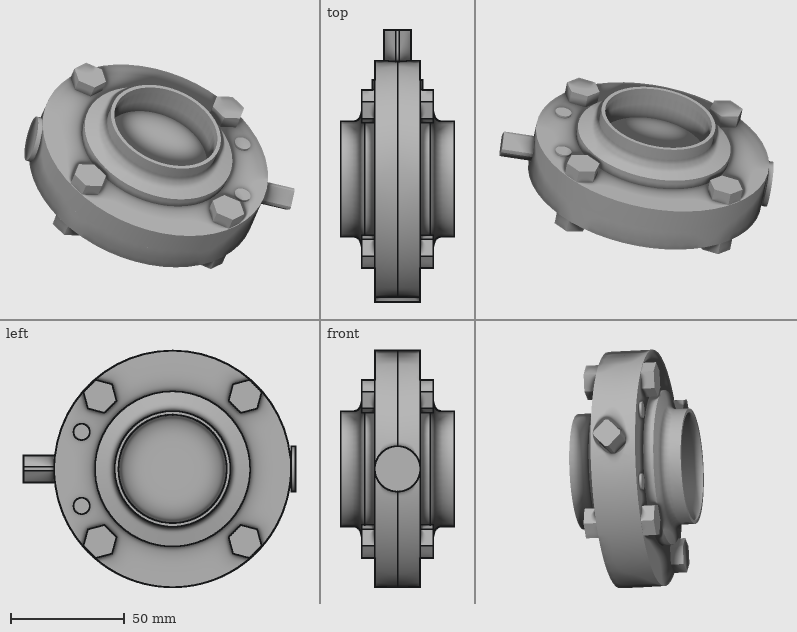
import cadquery as cq
import math


flange_diameter = 104.0
flange_thickness = 20.0
overall_length = 50.0
hub_diameter = 68.1
hub_edge_x = 14.5
hub_face_angle = 16.0
pipe_outer_diameter = 50.8
pipe_bore_diameter = 47.6
neck_fillet_radius = 3.0

bolt_circle_radius = 45.0
bolt_angles = (45, 135, 225, 315)
bolt_head_flats = 13.0
bolt_head_height = 5.7
pin_diameter = 7.2
pin_height = 1.1
pin_y = 39.9
pin_z = 16.3

disc_thickness = flange_thickness
stem_diameter = 12.0
stem_square = 9.6
stem_end_y = 65.5
drive_depth = 1.2
cap_diameter = flange_thickness
cap_thickness = 2.0
overall_width = 119.5

flange_radius = flange_diameter / 2
pipe_outer_radius = pipe_outer_diameter / 2
flange_face_x = flange_thickness / 2
pipe_end_x = overall_length / 2
drive_start_y = flange_radius - drive_depth
cap_end_y = stem_end_y - overall_width
cap_seat_y = cap_end_y + cap_thickness


def flange_blank():
    """Flange, hub with its sloping face, filleted neck and pipe stub, on the -X side."""
    hub_radius = hub_diameter / 2
    slope = math.radians(hub_face_angle)
    neck_x = hub_edge_x + (hub_radius - pipe_outer_radius) * math.tan(slope)
    tangent_length = neck_fillet_radius * math.tan(math.pi / 4 - slope / 2)
    face_tangent = (
        -neck_x + tangent_length * math.sin(slope),
        pipe_outer_radius + tangent_length * math.cos(slope),
    )
    pipe_tangent = (-neck_x - tangent_length, pipe_outer_radius)
    fillet_center = (pipe_tangent[0], pipe_outer_radius + neck_fillet_radius)
    middle_angle = (slope - math.pi / 2) / 2
    fillet_middle = (
        fillet_center[0] + neck_fillet_radius * math.cos(middle_angle),
        fillet_center[1] + neck_fillet_radius * math.sin(middle_angle),
    )
    return (
        cq.Workplane("XZ")
        .moveTo(0, pipe_bore_diameter / 2)
        .lineTo(0, flange_radius)
        .lineTo(-flange_face_x, flange_radius)
        .lineTo(-flange_face_x, hub_radius)
        .lineTo(-hub_edge_x, hub_radius)
        .lineTo(*face_tangent)
        .threePointArc(fillet_middle, pipe_tangent)
        .lineTo(-pipe_end_x, pipe_outer_radius)
        .lineTo(-pipe_end_x, pipe_bore_diameter / 2)
        .close()
        .revolve(360, (0, 0, 0), (1, 0, 0))
    )


def bolt_head(angle):
    """A hexagon head on the -X face, at this angle around the pipe, with one flat facing outward."""
    circumscribed_diameter = bolt_head_flats / math.cos(math.pi / 6)
    return (
        cq.Workplane("YZ", origin=(-flange_face_x, bolt_circle_radius, 0))
        .transformed(rotate=(0, 0, 30))
        .polygon(6, circumscribed_diameter)
        .extrude(-bolt_head_height)
        .rotate((0, 0, 0), (1, 0, 0), angle)
    )


def pin_ends():
    """Two round pin ends standing slightly proud of the -X face beside the stem."""
    return (
        cq.Workplane("YZ", origin=(-flange_face_x, 0, 0))
        .pushPoints([(pin_y, pin_z), (pin_y, -pin_z)])
        .circle(pin_diameter / 2)
        .extrude(-pin_height)
    )


def stem_section(start_y, end_y, diameter):
    """A round length of the stem, from start_y down to end_y."""
    return (
        cq.Workplane("XZ", origin=(0, start_y, 0))
        .circle(diameter / 2)
        .extrude(start_y - end_y)
    )


def housing_half():
    """The half housing on the -X side of the split plane."""
    half = flange_blank().union(pin_ends())
    for angle in bolt_angles:
        half = half.union(bolt_head(angle))
    return half.cut(stem_section(flange_radius, -flange_radius, stem_diameter))


def drive_end():
    """Squared end of the stem: its corners point along X and Z and keep the stem's roundness."""
    square = (
        cq.Workplane("XZ", origin=(0, stem_end_y, 0))
        .transformed(rotate=(0, 0, 45))
        .rect(stem_square, stem_square)
        .extrude(stem_end_y - drive_start_y)
    )
    return stem_section(stem_end_y, drive_start_y, stem_diameter).intersect(square)


def disc_with_stem():
    """Closing disc in one piece with its stem, the squared drive end and the end cap."""
    disc_plug = (
        cq.Workplane("YZ", origin=(-disc_thickness / 2, 0, 0))
        .circle(pipe_bore_diameter / 2)
        .extrude(disc_thickness)
    )
    shank = stem_section(drive_start_y, cap_seat_y, stem_diameter)
    cap = stem_section(cap_seat_y, cap_end_y, cap_diameter)
    return disc_plug.union(shank).union(drive_end()).union(cap)


left_housing = housing_half()
right_housing = left_housing.mirror("YZ")
disc = disc_with_stem()

result = cq.Compound.makeCompound([left_housing.val(), right_housing.val(), disc.val()])